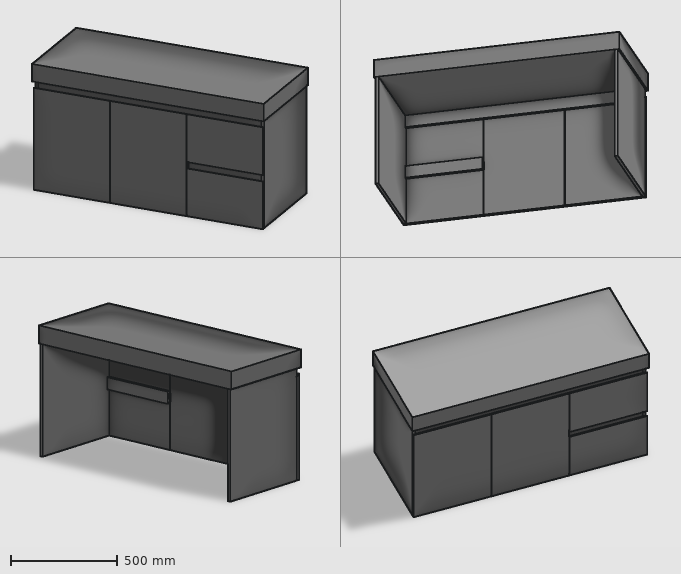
import cadquery as cq

TOP_WIDTH = 1200.0
TOP_DEPTH = 500.0
TOP_HEIGHT = 89.0
OVERALL_HEIGHT = 640.0
CABINET_HEIGHT = OVERALL_HEIGHT - TOP_HEIGHT

SIDE_OVERHANG = 7.0
FRONT_OVERHANG = 4.0
PANEL_THICKNESS = 15.0
FRONT_THICKNESS = 18.0
CABINET_WIDTH = TOP_WIDTH - 2 * SIDE_OVERHANG
INNER_LEFT = SIDE_OVERHANG + PANEL_THICKNESS
INNER_RIGHT = TOP_WIDTH - INNER_LEFT
CARCASS_Y = FRONT_OVERHANG + FRONT_THICKNESS
RAIL_HEIGHT = 60.0

COLUMN_COUNT = 3
DOOR_COUNT = 2
DRAWER_COUNT = 2
COLUMN_GAP = 4.0
FINGER_GAP = 31.0
BEVEL_DROP = 11.0
COLUMN_WIDTH = (CABINET_WIDTH - (COLUMN_COUNT - 1) * COLUMN_GAP) / COLUMN_COUNT
COLUMN_PITCH = COLUMN_WIDTH + COLUMN_GAP
DRAWER_X = SIDE_OVERHANG + DOOR_COUNT * COLUMN_PITCH
DOOR_HEIGHT = CABINET_HEIGHT - FINGER_GAP
DRAWER_PITCH = CABINET_HEIGHT / DRAWER_COUNT
DRAWER_HEIGHT = DRAWER_PITCH - FINGER_GAP


def box_at(x, y, z, width, depth, height):
    """Box with its lowest corner at (x, y, z)."""
    return cq.Workplane("XY").box(width, depth, height, centered=False).translate((x, y, z))


def make_countertop():
    return box_at(0, 0, CABINET_HEIGHT, TOP_WIDTH, TOP_DEPTH, TOP_HEIGHT)


def make_side_panel(x):
    return box_at(x, CARCASS_Y, 0, PANEL_THICKNESS, TOP_DEPTH - CARCASS_Y, CABINET_HEIGHT)


def make_rail(left_x, top_z):
    """Rail from left_x to the right side panel, closing the back of a grip slot."""
    return box_at(
        left_x,
        CARCASS_Y,
        top_z - RAIL_HEIGHT,
        INNER_RIGHT - left_x,
        PANEL_THICKNESS,
        RAIL_HEIGHT,
    )


def make_front(column, z, height):
    """Door or drawer front whose top edge slopes down towards the back."""
    profile = [
        (FRONT_OVERHANG, z),
        (CARCASS_Y, z),
        (CARCASS_Y, z + height - BEVEL_DROP),
        (FRONT_OVERHANG, z + height),
    ]
    x = SIDE_OVERHANG + column * COLUMN_PITCH
    return cq.Workplane("YZ", origin=(x, 0, 0)).polyline(profile).close().extrude(COLUMN_WIDTH)


countertop = make_countertop()

side_positions = [SIDE_OVERHANG, INNER_RIGHT]
side_panels = [make_side_panel(x) for x in side_positions]

top_rail = make_rail(INNER_LEFT, CABINET_HEIGHT)
middle_rail = make_rail(DRAWER_X, DRAWER_PITCH - FINGER_GAP / 2 + RAIL_HEIGHT / 2)

doors = [make_front(column, 0, DOOR_HEIGHT) for column in range(DOOR_COUNT)]
drawer_fronts = [
    make_front(DOOR_COUNT, level * DRAWER_PITCH, DRAWER_HEIGHT) for level in range(DRAWER_COUNT)
]

bodies = [countertop, *side_panels, top_rail, middle_rail, *doors, *drawer_fronts]
result = cq.Compound.makeCompound([body.val() for body in bodies])